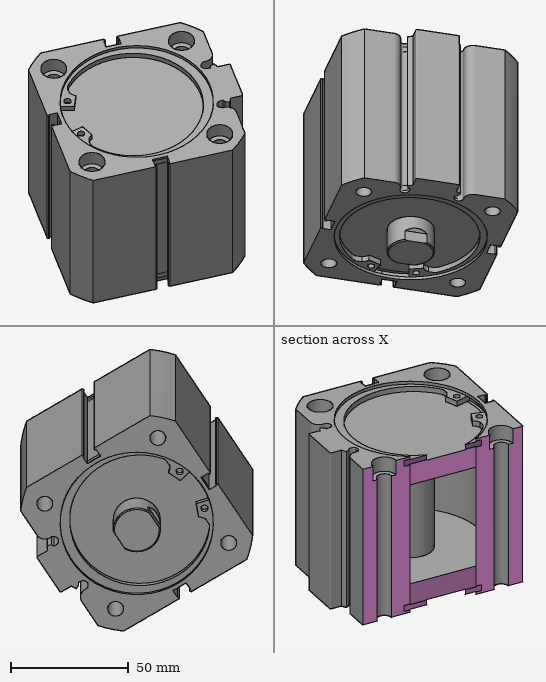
import cadquery as cq
import math

overall_depth = 83.0
overall_height = 84.0
width = 77.5
half_width = width / 2
height = 76.0
corner_radius = 49.6
bore_radius = 32.5

rail_top = overall_depth - half_width
rail_half_width = 9.6
rail_edge_fillet = 0.6
barb_tip = (11.7, 37.6)
barb_root = (10.8, 35.9)
groove_inner_x = 9.8
groove_outer_x = 13.95
groove_shoulder_y = 35.4
groove_radius = (groove_outer_x - groove_inner_x) / 2
groove_center_x = (groove_outer_x + groove_inner_x) / 2
groove_center_y = 34.2
groove_lip_radius = 4.0

screw_offset = 28.3
screw_diameter = 6.7
counterbore_diameter = 11.0
counterbore_depth = 7.0

ring_radius = 33.9
ring_thickness = 2.5
ring_inset = 1.4
ring_inner_radius = 29.8
ring_inner_shift = 1.6
ring_hole_diameter = 2.9
ring_hole_center = (9.9, -27.7)
lug_gap_corner = (6.2, -25.8)
lug_gap_lean = math.radians(14.4)
lug_outer_corner = (11.9, -23.4)
lug_flank_mid = (13.1, -24.8)
lug_flank_end = (14.6, -25.5)
lug_blend_start = (17.0, -25.5)
lug_blend_mid = (18.0, -25.2)
lug_blend_end_x = 18.9

slot_wall = 0.285
slot_depth = half_width - ring_radius - slot_wall
slot_width = 6.55
slot_mouth = 5.2
slot_chamfer = 0.4
slot_lip = 0.9

cover_thickness = 10.1

rod_radius = 10.0
rod_reach = overall_height - height
rod_chamfer = 0.5
flat_distance = 8.7
flat_start = 1.85

lower_ring_z = ring_inset
upper_ring_z = height - ring_inset - ring_thickness
lower_cover_z = lower_ring_z + ring_thickness
upper_cover_z = upper_ring_z - cover_thickness


def mirrored(point):
    """The matching point on the -X side."""
    return (-point[0], point[1])


def housing_blank():
    square = cq.Workplane("XY").rect(width, width).extrude(height)
    return square.intersect(cq.Workplane("XY").circle(corner_radius).extrude(height))


def rail():
    """The block standing on the +Y side, rooted in the body between the two grooves."""
    depth = rail_top - groove_center_y
    block = cq.Workplane("XY").box(2 * rail_half_width, depth, height, centered=(True, False, False))
    return block.edges("|Z and >Y").fillet(rail_edge_fillet).translate((0, groove_center_y, 0))


def rail_groove():
    """The space between the rail and the body on the +X side."""
    lip_x = groove_outer_x + groove_lip_radius
    lip_y = half_width - groove_lip_radius
    lip_drop = groove_lip_radius * math.cos(math.pi / 4)
    return (
        cq.Workplane("XY")
        .moveTo(rail_half_width, half_width)
        .lineTo(*barb_tip)
        .lineTo(*barb_root)
        .lineTo(groove_inner_x, groove_shoulder_y)
        .lineTo(groove_inner_x, groove_center_y)
        .threePointArc(
            (groove_center_x, groove_center_y - groove_radius), (groove_outer_x, groove_center_y)
        )
        .lineTo(groove_outer_x, lip_y)
        .threePointArc((lip_x - lip_drop, lip_y + lip_drop), (lip_x, half_width))
        .close()
        .extrude(height)
    )


def sensor_slot(angle):
    """A T-shaped slot with a chamfered mouth in the +X face, turned about the bore axis."""
    mouth = cq.Workplane("XY").box(slot_depth, slot_mouth, height, centered=(False, True, False))
    inner = cq.Workplane("XY").box(
        slot_depth - slot_lip, slot_width, height, centered=(False, True, False)
    )
    slot = mouth.union(inner).translate((half_width - slot_depth, 0, 0))
    half_mouth = slot_mouth / 2
    flare = (
        cq.Workplane("XY")
        .moveTo(half_width - slot_chamfer, half_mouth)
        .lineTo(half_width, half_mouth + slot_chamfer)
        .lineTo(half_width, -half_mouth - slot_chamfer)
        .lineTo(half_width - slot_chamfer, -half_mouth)
        .close()
        .extrude(height)
    )
    slot = slot.union(flare)
    return slot.rotate((0, 0, 0), (0, 0, 1), angle)


def disc(radius, thickness, bottom):
    return cq.Workplane("XY").workplane(offset=bottom).circle(radius).extrude(thickness)


def make_housing():
    body = housing_blank().union(rail())
    groove = rail_groove()
    body = body.cut(groove).cut(groove.mirror("YZ"))
    for angle in (0, 180, 270):
        body = body.cut(sensor_slot(angle))
    body = (
        body.faces(">Z")
        .workplane(origin=(0, 0, height))
        .rect(2 * screw_offset, 2 * screw_offset, forConstruction=True)
        .vertices()
        .cboreHole(screw_diameter, counterbore_diameter, counterbore_depth)
    )
    body = body.cut(disc(bore_radius, height, 0))
    for level in (lower_ring_z, upper_ring_z):
        body = body.cut(disc(ring_radius, ring_thickness, level))
    return body


def make_ring(bottom):
    """A retaining ring that fills its seat, with two drilled lugs beside a gap on the -Y side."""
    lean_x = math.sin(lug_gap_lean)
    lean_y = math.cos(lug_gap_lean)
    along = lug_gap_corner[0] * lean_x - lug_gap_corner[1] * lean_y
    corner_square = lug_gap_corner[0] ** 2 + lug_gap_corner[1] ** 2
    run = -along + math.sqrt(along ** 2 + ring_radius ** 2 - corner_square)
    gap_end = (lug_gap_corner[0] + run * lean_x, lug_gap_corner[1] - run * lean_y)
    blend_end_y = -ring_inner_shift - math.sqrt(ring_inner_radius ** 2 - lug_blend_end_x ** 2)
    blend_end = (lug_blend_end_x, blend_end_y)
    return (
        cq.Workplane("XY")
        .workplane(offset=bottom)
        .moveTo(*gap_end)
        .threePointArc((0, ring_radius), mirrored(gap_end))
        .lineTo(*mirrored(lug_gap_corner))
        .lineTo(*mirrored(lug_outer_corner))
        .threePointArc(mirrored(lug_flank_mid), mirrored(lug_flank_end))
        .lineTo(*mirrored(lug_blend_start))
        .threePointArc(mirrored(lug_blend_mid), mirrored(blend_end))
        .threePointArc((0, ring_inner_radius - ring_inner_shift), blend_end)
        .threePointArc(lug_blend_mid, lug_blend_start)
        .lineTo(*lug_flank_end)
        .threePointArc(lug_flank_mid, lug_outer_corner)
        .lineTo(*lug_gap_corner)
        .close()
        .pushPoints([ring_hole_center, mirrored(ring_hole_center)])
        .circle(ring_hole_diameter / 2)
        .extrude(ring_thickness)
    )


def make_upper_cover():
    return disc(bore_radius, cover_thickness, upper_cover_z)


def make_lower_cover():
    plate = disc(bore_radius, cover_thickness, lower_cover_z)
    return plate.cut(disc(rod_radius, cover_thickness, lower_cover_z))


def make_rod():
    """The rod, reaching up to the upper cover, with two wrench flats at its lower end."""
    rod = disc(rod_radius, rod_reach + upper_cover_z, -rod_reach)
    rod = rod.faces("<Z").chamfer(rod_chamfer)
    slope = rod_radius - flat_distance
    flat = (
        cq.Workplane("YZ")
        .moveTo(rod_radius, -flat_start)
        .lineTo(flat_distance, -flat_start - slope)
        .lineTo(flat_distance, -rod_reach)
        .lineTo(rod_radius, -rod_reach)
        .close()
        .extrude(rod_radius, both=True)
    )
    return rod.cut(flat).cut(flat.mirror("XZ"))


housing = make_housing()
rings = [make_ring(level) for level in (lower_ring_z, upper_ring_z)]
upper_cover = make_upper_cover()
lower_cover = make_lower_cover()
rod = make_rod()

result = cq.Compound.makeCompound(
    [housing.val(), *[ring.val() for ring in rings], upper_cover.val(), lower_cover.val(), rod.val()]
)